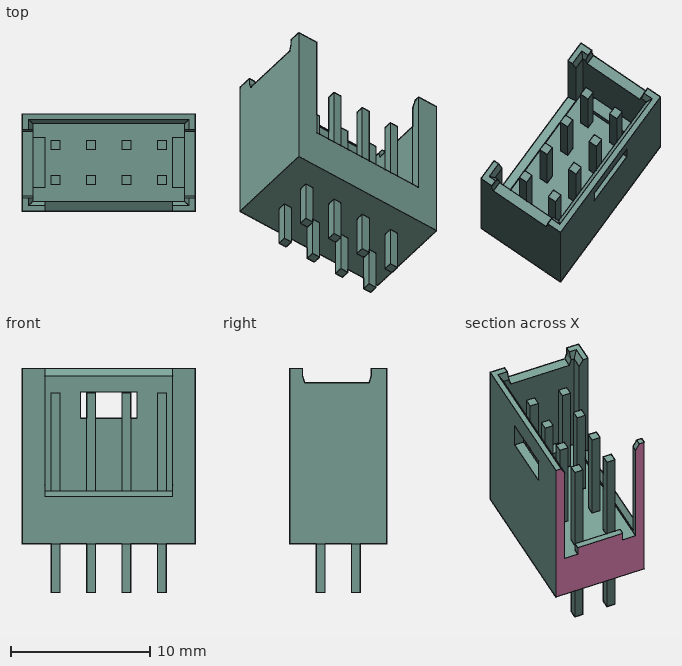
import cadquery as cq

length = 12.45
width = 7.0
total_height = 16.1
pin_foot = 3.5

end_wall = 0.77
side_wall = 0.71
floor_z = 7.1
lead_in = 0.3
lead_in_depth = 0.53
cavity_length = length - 2 * end_wall
cavity_width = width - 2 * side_wall

opening_width = 9.18
sill_outer_z = 6.9
sill_inner_z = 7.31

notch_depth = 1.01
notch_back_margin = 1.15
notch_front_margin = 0.95
notch_taper = 0.15

window_width = 4.04
window_bottom = 12.53
window_top = 14.41

ledge_width = 3.57
ledge_height = 0.65
ledge_depth = (cavity_length - opening_width) / 2

pin_size = 0.65
pin_pitch = 2.55
pin_columns = 4
pin_rows = 2
pin_top = 14.35


def block(size_x, size_y, bottom, top):
    """Box centred on X and Y that spans the given heights."""
    return cq.Workplane("XY").workplane(offset=bottom).rect(size_x, size_y).extrude(top - bottom)


def cavity():
    """Straight pocket topped by a frustum that forms the lead-in bevel."""
    pocket = block(cavity_length, cavity_width, floor_z, total_height)
    mouth = (
        cq.Workplane("XY")
        .workplane(offset=total_height - lead_in_depth)
        .rect(cavity_length, cavity_width)
        .workplane(offset=lead_in_depth)
        .rect(cavity_length + 2 * lead_in, cavity_width + 2 * lead_in)
        .loft(ruled=True)
    )
    return pocket.union(mouth)


def outline(profile):
    """Closed outline of (y, z) points, facing along X."""
    return cq.Workplane("YZ").polyline(profile).close()


def front_opening():
    outside_y = -width / 2
    inside_y = outside_y + side_wall
    profile = [
        (outside_y, sill_outer_z),
        (inside_y, sill_inner_z),
        (inside_y, total_height),
        (outside_y, total_height),
    ]
    return outline(profile).extrude(opening_width / 2, both=True)


def end_notches():
    """One cut through both end walls: straight at the top, tapering in towards its floor."""
    front_y = -width / 2 + notch_front_margin
    back_y = width / 2 - notch_back_margin
    taper_z = total_height - lead_in_depth
    notch_z = total_height - notch_depth
    profile = [
        (front_y, total_height),
        (front_y, taper_z),
        (front_y + notch_taper, notch_z),
        (back_y - notch_taper, notch_z),
        (back_y, taper_z),
        (back_y, total_height),
    ]
    return outline(profile).extrude(length / 2, both=True)


def back_window():
    window = block(window_width, side_wall, window_bottom, window_top)
    return window.translate((0, (width - side_wall) / 2, 0))


def ledges():
    ledge = block(ledge_depth, ledge_width, floor_z, floor_z + ledge_height)
    offset = (cavity_length - ledge_depth) / 2
    return ledge.translate((-offset, 0, 0)).union(ledge.translate((offset, 0, 0)))


def pins():
    return (
        cq.Workplane("XY")
        .rarray(pin_pitch, pin_pitch, pin_columns, pin_rows)
        .rect(pin_size, pin_size)
        .extrude(pin_top)
    )


housing = block(length, width, pin_foot, total_height)
for opening in (cavity(), front_opening(), end_notches(), back_window()):
    housing = housing.cut(opening)

result = housing.union(ledges()).union(pins())